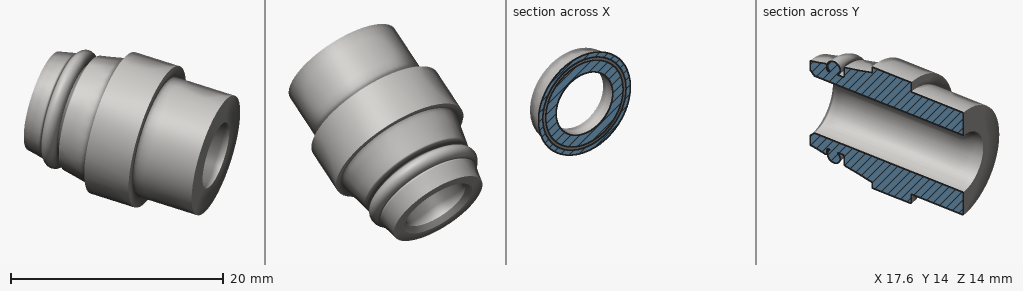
import cadquery as cq
import math

total_length = 17.6
groove_start = 1.95
groove_end = 3.85
collar_start = 7.08
collar_end = 11.6

collar_radius = 14.0 / 2
tail_radius = 5.91
nose_radius = 4.88
shoulder_radius = 6.34
groove_radius = 4.5
bore_radius = 3.25

taper_angle = 12.0
bore_chamfer = 0.5
groove_floor_fillet = 0.1
groove_rim_fillet = 0.2

ring_section_radius = 0.75
ring_outer_radius = 5.85
ring_position = 2.71

taper = math.tan(math.radians(taper_angle))
nose_rim_radius = nose_radius + taper * groove_start
rear_rim_radius = shoulder_radius - taper * (collar_start - groove_end)


def revolve_about_x(sketch):
    return sketch.revolve(360, (0, 0, 0), (1, 0, 0))


def circle_edges_at(x, radius):
    """Select the circular edges at one X position and radius."""
    margin = 0.009
    outer = radius + margin
    inner = radius - margin
    slab = cq.selectors.BoxSelector(
        (x - margin, -outer, -outer), (x + margin, outer, outer), boundingbox=True
    )
    core = cq.selectors.BoxSelector(
        (x - margin, -inner, -inner), (x + margin, inner, inner), boundingbox=True
    )
    return slab - core


def make_body():
    """Turned body: tapered nose, ring groove, rear cone, collar and tail."""
    outline = [
        (0, 0),
        (0, nose_radius),
        (groove_start, nose_rim_radius),
        (groove_start, groove_radius),
        (groove_end, groove_radius),
        (groove_end, rear_rim_radius),
        (collar_start, shoulder_radius),
        (collar_start, collar_radius),
        (collar_end, collar_radius),
        (collar_end, tail_radius),
        (total_length, tail_radius),
        (total_length, 0),
    ]
    body = revolve_about_x(cq.Workplane("XY").polyline(outline).close())
    for x, rim_radius in ((groove_start, nose_rim_radius), (groove_end, rear_rim_radius)):
        body = body.edges(circle_edges_at(x, rim_radius)).fillet(groove_rim_fillet)
        body = body.edges(circle_edges_at(x, groove_radius)).fillet(groove_floor_fillet)
    return body


def make_bore():
    """Through bore with a chamfered mouth at the nose."""
    outline = [
        (0, 0),
        (0, bore_radius + bore_chamfer),
        (bore_chamfer, bore_radius),
        (total_length, bore_radius),
        (total_length, 0),
    ]
    return revolve_about_x(cq.Workplane("XY").polyline(outline).close())


def make_ring():
    section_center = (ring_position, ring_outer_radius - ring_section_radius)
    section = cq.Workplane("XY").moveTo(*section_center).circle(ring_section_radius)
    return revolve_about_x(section)


result = make_body().cut(make_bore()).union(make_ring())